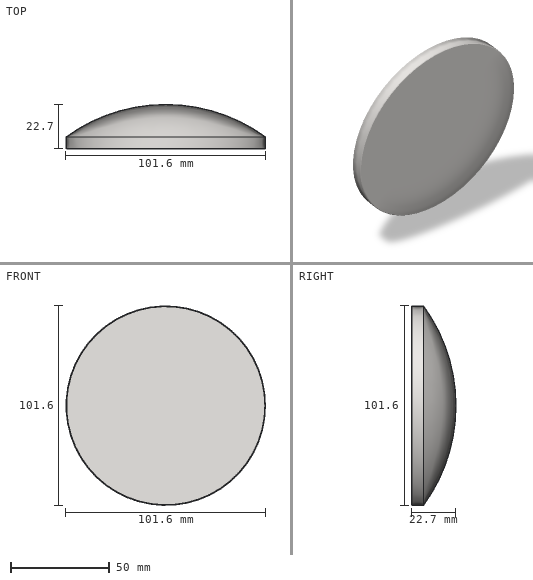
import cadquery as cq

diameter = 101.6
center_thickness = 22.7
edge_thickness = 6.1
edge_chamfer = 0.3

radius = diameter / 2
dome_height = center_thickness - edge_thickness
sphere_radius = (radius**2 + dome_height**2) / (2 * dome_height)
flat_y = -center_thickness / 2
apex_y = center_thickness / 2
rim_y = flat_y + edge_thickness

mid_x = radius / 2
mid_y = apex_y - sphere_radius + (sphere_radius**2 - mid_x**2) ** 0.5

half_section = (
    cq.Workplane("XY")
    .moveTo(0, flat_y)
    .lineTo(radius - edge_chamfer, flat_y)
    .lineTo(radius, flat_y + edge_chamfer)
    .lineTo(radius, rim_y)
    .threePointArc((mid_x, mid_y), (0, apex_y))
    .close()
)

result = half_section.revolve(360, (0, 0, 0), (0, 1, 0))